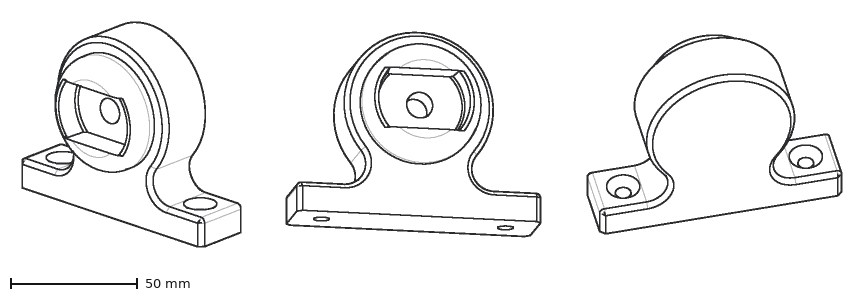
import cadquery as cq
import math

base_length = 98.0
total_height = 75.0
body_depth = 25.0
base_height = 12.0
head_radius = 30.0
edge_size = 2.0

cap_radius = 23.9
cap_height = 11.0
cap_rounding = 8.0

slot_height = 24.2
mouth_radius = 20.0
pocket_radius = 18.4
floor_radius = 17.1
wall_foot_radius = 17.9
lip_depth = 1.2
pocket_depth = 11.0
floor_chamfer = 1.0
center_bore_diameter = 10.4
center_bore_depth = 11.8

screw_spacing = 73.9
screw_hole_diameter = 6.2
countersink_diameter = 13.1
countersink_angle = 90.0

head_z = total_height - head_radius
half_length = base_length / 2

rise = head_z - base_height
neck_radius = rise**2 / (2 * (rise + head_radius))
neck_z = base_height + neck_radius


def neck_point(side, angle):
    """Point on a neck arc; the angle is measured from horizontal toward the middle."""
    x = head_radius - neck_radius * math.cos(angle)
    return side * x, neck_z + neck_radius * math.sin(angle)


def make_body():
    head_angle = math.atan2(head_z - neck_z, head_radius)
    middle_angle = (head_angle - math.pi / 2) / 2
    profile = (
        cq.Workplane("XZ")
        .moveTo(-half_length, 0)
        .lineTo(half_length, 0)
        .lineTo(half_length, base_height)
        .lineTo(head_radius, base_height)
        .threePointArc(neck_point(1, middle_angle), neck_point(1, head_angle))
        .threePointArc((0, total_height), neck_point(-1, head_angle))
        .threePointArc(neck_point(-1, middle_angle), (-head_radius, base_height))
        .lineTo(-half_length, base_height)
        .close()
    )
    body = profile.extrude(-body_depth)
    body = body.faces("<X or >X").edges("|Y and (not <Z)").fillet(edge_size)
    outline = body.faces("<Y or >Y").edges().filter(
        lambda edge: edge.Center().z > edge_size / 2
    )
    return outline.chamfer(edge_size)


def revolve_about_head(profile):
    """Revolve an XY profile (radius, Y) about the Y axis and lift it to the head."""
    return profile.close().revolve(360, (0, 0), (0, 1)).translate((0, 0, head_z))


def make_cap():
    shoulder_y = cap_rounding - cap_height
    flat_radius = cap_radius - cap_rounding
    diagonal = cap_rounding * math.sqrt(0.5)
    profile = (
        cq.Workplane("XY")
        .moveTo(0, edge_size)
        .lineTo(cap_radius, edge_size)
        .lineTo(cap_radius, shoulder_y)
        .threePointArc(
            (flat_radius + diagonal, shoulder_y - diagonal), (flat_radius, -cap_height)
        )
        .lineTo(0, -cap_height)
    )
    return revolve_about_head(profile)


def make_pocket():
    lip_y = lip_depth - cap_height
    floor_y = pocket_depth - cap_height
    profile = (
        cq.Workplane("XY")
        .moveTo(0, -cap_height)
        .lineTo(mouth_radius, -cap_height)
        .lineTo(mouth_radius, lip_y)
        .lineTo(pocket_radius, lip_y)
        .lineTo(wall_foot_radius, floor_y - floor_chamfer)
        .lineTo(floor_radius, floor_y)
        .lineTo(0, floor_y)
    )
    slab = cq.Workplane("XY").box(base_length, base_length, slot_height)
    return revolve_about_head(profile).intersect(slab.translate((0, 0, head_z)))


def make_center_bore():
    bore = cq.Workplane("XZ").center(0, head_z).circle(center_bore_diameter / 2)
    return bore.extrude(-center_bore_depth)


result = make_body().union(make_cap()).cut(make_pocket()).cut(make_center_bore())

screw_plane = cq.Workplane("XY", origin=(0, body_depth / 2, base_height))
result = (
    screw_plane.add(result)
    .pushPoints([(-screw_spacing / 2, 0), (screw_spacing / 2, 0)])
    .cskHole(screw_hole_diameter, countersink_diameter, countersink_angle)
)